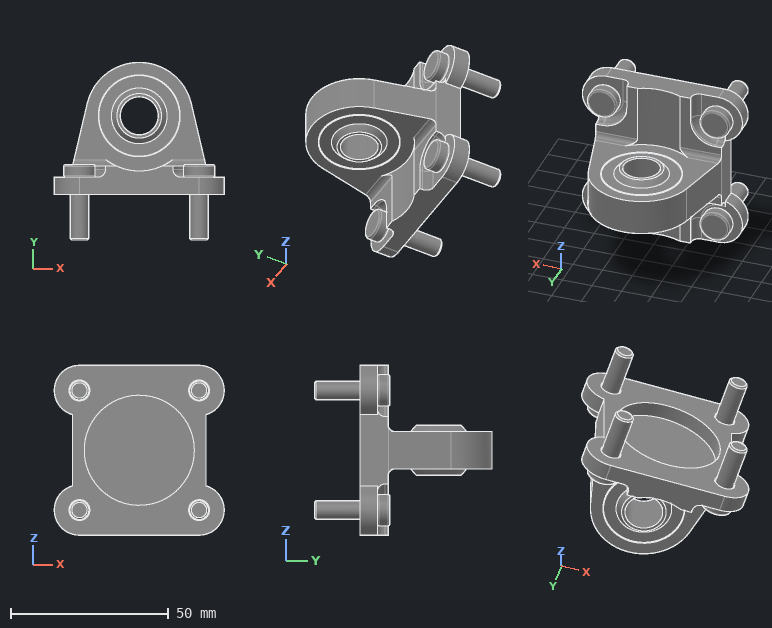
import cadquery as cq
import math


BORE_DIAMETER = 12.0
BALL_RADIUS = 10.7
BALL_WIDTH = 16.0
SEAT_DIAMETER = 26.0
SEAT_GROOVE_WIDTH = 0.15
SEAT_GROOVE_DEPTH = 0.3
EYE_RADIUS = 17.0
LUG_THICKNESS = 12.0
LUG_FILLET = 2.0

PLATE_BACK_Y = -16.0
PLATE_FRONT_Y = -25.0
WAIST_HALF_WIDTH = 21.25
BOLT_OFFSET = 19.0
EAR_RADIUS = 8.0
EAR_THICKNESS = 5.5
HEAD_RECESS_RADIUS = 8.25
HEAD_RECESS_FILLET = 2.5
BOLT_HOLE_DIAMETER = 6.6
CLEARANCE_RADIUS = 17.5
POCKET_DIAMETER = 35.0
POCKET_DEPTH = 5.05

SHANK_DIAMETER = 6.0
SHANK_LENGTH = 20.0
TIP_CHAMFER = 0.55
HEAD_DIAMETER = 10.0
HEAD_HEIGHT = 4.0
HEAD_EDGE_FILLET = 0.55

EAR_BACK_Y = PLATE_FRONT_Y + EAR_THICKNESS
PLATE_HALF_HEIGHT = BOLT_OFFSET + EAR_RADIUS
LUG_TOP_Z = LUG_THICKNESS / 2
CORNERS = [(side_x, side_z) for side_x in (-1, 1) for side_z in (-1, 1)]
BOLT_POSITIONS = [(side_x * BOLT_OFFSET, side_z * BOLT_OFFSET) for side_x, side_z in CORNERS]


def cylinders_along_y(centers, radius, start_y, end_y):
    """Cylinders parallel to Y at the given (x, z) centers."""
    plane = cq.Workplane("XZ", origin=(0, start_y, 0))
    return plane.pushPoints(centers).circle(radius).extrude(start_y - end_y)


def flange_plate():
    """Plate with a waist on both sides and a thinner round ear at each corner."""
    thickness = PLATE_BACK_Y - PLATE_FRONT_Y
    plane = cq.Workplane("XZ", origin=(0, PLATE_BACK_Y, 0))
    body = plane.rect(2 * BOLT_OFFSET, 2 * PLATE_HALF_HEIGHT).extrude(thickness)
    waist = plane.rect(2 * WAIST_HALF_WIDTH, 2 * BOLT_OFFSET).extrude(thickness)
    ears = cylinders_along_y(BOLT_POSITIONS, EAR_RADIUS, EAR_BACK_Y, PLATE_FRONT_Y)
    return body.union(waist).union(ears)


def head_recess(side_x, side_z):
    """Cutter for the corner recess of a bolt head, open to the outer sides of its ear."""
    size = 2 * HEAD_RECESS_RADIUS + EAR_RADIUS
    recess_height = 2 * (PLATE_BACK_Y - EAR_BACK_Y)
    center = BOLT_OFFSET - HEAD_RECESS_RADIUS + size / 2
    return (
        cq.Workplane("XZ", origin=(side_x * center, EAR_BACK_Y, side_z * center))
        .rect(size, size)
        .extrude(-recess_height)
        .edges("|Y")
        .fillet(HEAD_RECESS_RADIUS)
        .faces("<Y")
        .edges()
        .fillet(HEAD_RECESS_FILLET)
    )


def lug():
    """Rounded lug whose sides run tangentially from the eye to the plate, filleted into the plate."""
    root_distance = math.hypot(WAIST_HALF_WIDTH, PLATE_BACK_Y)
    tangent_angle = math.atan2(PLATE_BACK_Y, WAIST_HALF_WIDTH) + math.acos(EYE_RADIUS / root_distance)
    tangent_x = EYE_RADIUS * math.cos(tangent_angle)
    tangent_y = EYE_RADIUS * math.sin(tangent_angle)
    outline = (
        cq.Workplane("XY")
        .moveTo(-WAIST_HALF_WIDTH, PLATE_BACK_Y)
        .lineTo(WAIST_HALF_WIDTH, PLATE_BACK_Y)
        .lineTo(tangent_x, tangent_y)
        .threePointArc((0, EYE_RADIUS), (-tangent_x, tangent_y))
        .close()
        .extrude(LUG_TOP_Z + LUG_FILLET, both=True)
    )
    fillet_start_y = PLATE_BACK_Y + LUG_FILLET
    side_profile = (
        cq.Workplane("YZ")
        .moveTo(EYE_RADIUS, -LUG_TOP_Z)
        .lineTo(EYE_RADIUS, LUG_TOP_Z)
        .lineTo(fillet_start_y, LUG_TOP_Z)
        .radiusArc((PLATE_BACK_Y, LUG_TOP_Z + LUG_FILLET), LUG_FILLET)
        .lineTo(PLATE_BACK_Y, -LUG_TOP_Z - LUG_FILLET)
        .radiusArc((fillet_start_y, -LUG_TOP_Z), LUG_FILLET)
        .close()
        .extrude(WAIST_HALF_WIDTH, both=True)
    )
    return outline.intersect(side_profile)


def eye_clearance(side):
    """Cutter that clears the plate around the eye above (side 1) or below (side -1) the lug."""
    plane = cq.Workplane("XY", origin=(0, 0, side * LUG_TOP_Z))
    return plane.circle(CLEARANCE_RADIUS).extrude(side * PLATE_HALF_HEIGHT)


def seat_groove(side):
    """Cutter for the fine ring groove around the bearing seat on one face of the lug."""
    seat_radius = SEAT_DIAMETER / 2
    plane = cq.Workplane("XY", origin=(0, 0, side * LUG_TOP_Z))
    return plane.circle(seat_radius).circle(seat_radius - SEAT_GROOVE_WIDTH).extrude(-side * SEAT_GROOVE_DEPTH)


def bearing_ball():
    """Sphere cut flat at both ends of the bore."""
    slab = cq.Workplane("XY").box(2 * BALL_RADIUS, 2 * BALL_RADIUS, BALL_WIDTH)
    return cq.Workplane("XY").sphere(BALL_RADIUS).intersect(slab)


def make_bracket():
    plate = flange_plate()
    for side_x, side_z in CORNERS:
        plate = plate.cut(head_recess(side_x, side_z))
    bracket = plate.union(lug())
    for side in (-1, 1):
        bracket = bracket.cut(eye_clearance(side)).cut(seat_groove(side))
    bore = cq.Workplane("XY").circle(BORE_DIAMETER / 2).extrude(BALL_WIDTH, both=True)
    pocket_floor_y = PLATE_FRONT_Y + POCKET_DEPTH
    pocket = cylinders_along_y([(0, 0)], POCKET_DIAMETER / 2, pocket_floor_y, PLATE_FRONT_Y)
    bolt_holes = cylinders_along_y(BOLT_POSITIONS, BOLT_HOLE_DIAMETER / 2, PLATE_BACK_Y, PLATE_FRONT_Y)
    return bracket.union(bearing_ball()).cut(bore).cut(pocket).cut(bolt_holes)


def make_bolt(x, z):
    """Bolt seated on the back of an ear, with its tip pointing to -Y."""
    shank = (
        cylinders_along_y([(x, z)], SHANK_DIAMETER / 2, EAR_BACK_Y, EAR_BACK_Y - SHANK_LENGTH)
        .faces("<Y")
        .chamfer(TIP_CHAMFER)
    )
    head = (
        cylinders_along_y([(x, z)], HEAD_DIAMETER / 2, EAR_BACK_Y + HEAD_HEIGHT, EAR_BACK_Y)
        .faces(">Y or <Y")
        .edges()
        .fillet(HEAD_EDGE_FILLET)
    )
    return shank.union(head)


bracket = make_bracket()
bolts = [make_bolt(x, z).val() for x, z in BOLT_POSITIONS]

result = cq.Compound.makeCompound([bracket.val(), *bolts])